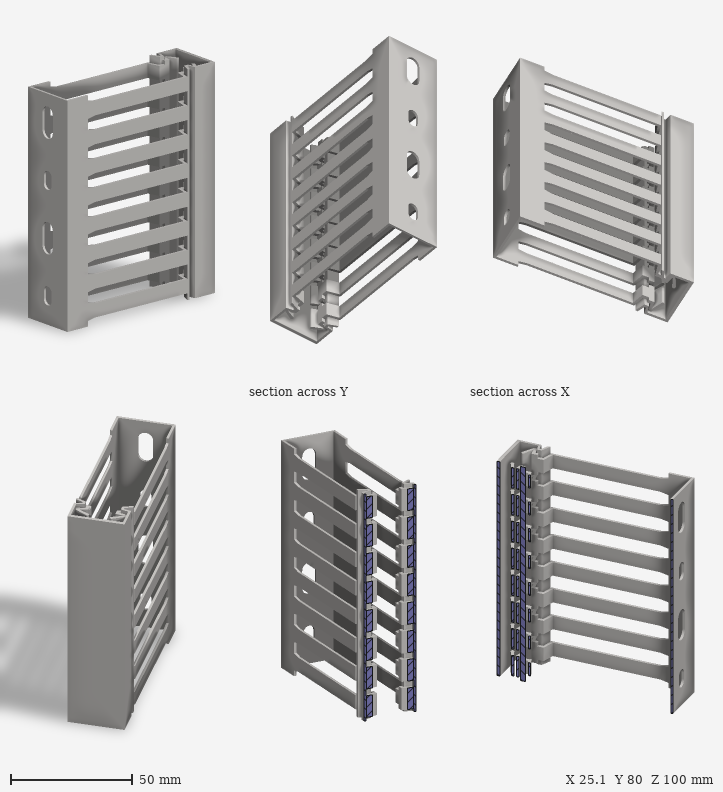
import cadquery as cq
import math


length = 100.0
duct_width = 25.1
total_depth = 80.0
duct_wall = 1.1

finger_count = 8
finger_pitch = length / finger_count
gap_width = finger_pitch / 2
gap_root_width = 4.8
gap_root_y = 11.2
gap_taper_end_y = 15.0

head_gap_width = 2.8
head_start_y = 68.2

wall_top_y = 64.8
wall_inner_top_y = 63.7
lip_outer_x = 7.3
lip_inner_x = 5.8
lip_inner_low_y = 65.3
lip_low_y = 66.1
lip_high_y = 69.7
lip_inner_high_y = 70.8

hook_x = 11.0
hook_low_y = 70.5
hook_high_y = 71.9
hook_crease_x = 9.5
hook_crease_y = 71.5
hook_tip_x = 5.2
hook_tip_y = 74.3
hook_tip_radius = 0.75
hook_angle = math.radians(24)

slot_pair_count = 2
slot_pitch = length / (2 * slot_pair_count)
large_slot_length = 14.0
large_slot_width = 6.5
small_slot_length = 8.2
small_slot_width = 5.0

cover_width = 24.4
cover_top = 1.5
cover_side = 1.1
cover_side_low_y = 69.2
cover_inner_low_y = 70.1
cover_waist_outer_x = 8.9
cover_waist_inner_x = 7.7
cover_waist_high_y = 68.6
cover_waist_low_y = 67.8
cover_waist_inner_high_y = 69.2
cover_waist_inner_low_y = 67.1
cover_lip_high_y = 66.3
cover_lip_low_y = 65.2
cover_lip_foot_x = 11.6
cover_lip_foot_y = 65.4


def extrude_symmetric(half_profile):
    """Extrude a closed half profile on +X along Z and join it to its mirror image."""
    half = half_profile.close().extrude(length)
    return half.union(half.mirror("YZ"))


def duct_profile():
    """Half section of base, side wall, snap lip and rounded hook."""
    outer_x = duct_width / 2
    inner_x = outer_x - duct_wall
    normal_x = hook_tip_radius * math.sin(hook_angle)
    normal_y = hook_tip_radius * math.cos(hook_angle)
    return (
        cq.Workplane("XY")
        .moveTo(0, 0)
        .lineTo(outer_x, 0)
        .lineTo(outer_x, wall_top_y)
        .lineTo(lip_outer_x, lip_low_y)
        .lineTo(lip_outer_x, lip_high_y)
        .lineTo(hook_x, hook_low_y)
        .lineTo(hook_x, hook_high_y)
        .lineTo(hook_tip_x + normal_x, hook_tip_y + normal_y)
        .threePointArc(
            (hook_tip_x - normal_y, hook_tip_y + normal_x),
            (hook_tip_x - normal_x, hook_tip_y - normal_y),
        )
        .lineTo(hook_crease_x, hook_crease_y)
        .lineTo(lip_inner_x, lip_inner_high_y)
        .lineTo(lip_inner_x, lip_inner_low_y)
        .lineTo(inner_x, wall_inner_top_y)
        .lineTo(inner_x, duct_wall)
        .lineTo(0, duct_wall)
    )


def finger_gap(z):
    """Cutter centred at height z that parts two fingers in both side walls."""
    return (
        cq.Workplane("YZ")
        .polyline([
            (gap_root_y, z - gap_root_width / 2),
            (gap_taper_end_y, z - gap_width / 2),
            (head_start_y, z - gap_width / 2),
            (head_start_y, z - head_gap_width / 2),
            (total_depth, z - head_gap_width / 2),
            (total_depth, z + head_gap_width / 2),
            (head_start_y, z + head_gap_width / 2),
            (head_start_y, z + gap_width / 2),
            (gap_taper_end_y, z + gap_width / 2),
            (gap_root_y, z + gap_root_width / 2),
        ])
        .close()
        .extrude(duct_width / 2, both=True)
    )


def mounting_slot(z, slot_length, slot_width):
    """Cutter for one slot through the base, long side along Z."""
    return (
        cq.Workplane("XZ")
        .center(0, z)
        .slot2D(slot_length, slot_width, 90)
        .extrude(-duct_wall)
    )


def make_duct():
    """Duct with fingers, snap lips and alternating small and large base slots."""
    body = extrude_symmetric(duct_profile())
    for i in range(finger_count + 1):
        body = body.cut(finger_gap(i * finger_pitch))
    for i in range(slot_pair_count):
        small_z = 2 * i * slot_pitch + slot_pitch / 2
        large_z = small_z + slot_pitch
        body = body.cut(mounting_slot(small_z, small_slot_length, small_slot_width))
        body = body.cut(mounting_slot(large_z, large_slot_length, large_slot_width))
    return body


def make_cover():
    """Cover whose side walls pinch in to a waist and flare out to a lip."""
    outer_x = cover_width / 2
    inner_x = outer_x - cover_side
    inner_top_y = total_depth - cover_top
    half_profile = cq.Workplane("XY").polyline([
        (0, total_depth),
        (outer_x, total_depth),
        (outer_x, cover_side_low_y),
        (cover_waist_outer_x, cover_waist_high_y),
        (cover_waist_outer_x, cover_waist_low_y),
        (outer_x, cover_lip_high_y),
        (outer_x, cover_lip_low_y),
        (cover_lip_foot_x, cover_lip_foot_y),
        (cover_waist_inner_x, cover_waist_inner_low_y),
        (cover_waist_inner_x, cover_waist_inner_high_y),
        (inner_x, cover_inner_low_y),
        (inner_x, inner_top_y),
        (0, inner_top_y),
    ])
    return extrude_symmetric(half_profile)


duct = make_duct()
cover = make_cover()

result = cq.Compound.makeCompound([duct.val(), cover.val()])